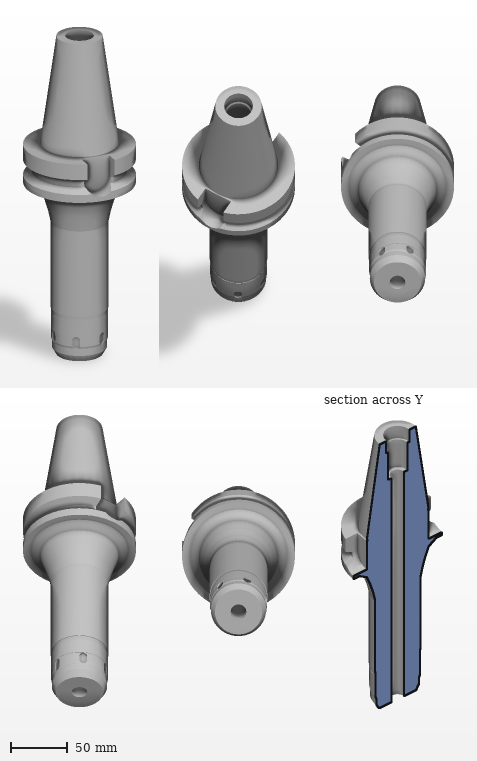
import cadquery as cq

total_height = 301.8
taper_length = 101.7
face_gap = 1.2
flange_height = 36.5
flange_top = total_height - taper_length - face_gap
flange_bottom = flange_top - flange_height
taper_bottom = flange_top + face_gap

taper_small_radius = 20.5
taper_large_radius = 35.0
collar_radius = 34.0
flange_radius = 49.95
groove_radius = 42.5
upper_rim_height = 14.8
lower_rim_height = 7.5
groove_side_height = 4.2

flange_underside_radius = 43.2
neck_top_radius = 35.0
neck_top = 157.0
neck_middle_radius = 29.3
neck_middle = 141.2
shank_radius = 25.7
shank_top = 125.5
shank_bottom = 44.0

nut_radius = 25.0
sleeve_radius = 25.5
sleeve_top = 39.5
sleeve_bottom = 25.0
nut_step_top = 15.0
nut_step_bottom = 13.3
nose_radius = 24.5
nose_chamfer_top = 6.3
nose_tip_radius = 20.8

pocket_count = 6
pocket_width = 7.0
pocket_height = 11.5
pocket_depth = 2.0
pocket_center = nut_step_bottom + pocket_height / 2

slot_width = 26.3
slot_floor_distance = 35.0
slot_bottom = 166.3

mouth_radius = 12.7
mouth_depth = 14.0
thread_radius = 11.0
thread_depth = 45.3
through_radius = 7.0


def revolved_body():
    rim_bottom = flange_top - upper_rim_height
    rim_top = flange_bottom + lower_rim_height
    return (
        cq.Workplane("XZ")
        .moveTo(0, 0)
        .lineTo(nose_tip_radius, 0)
        .lineTo(nose_radius, nose_chamfer_top)
        .lineTo(nose_radius, nut_step_bottom)
        .lineTo(nut_radius, nut_step_top)
        .lineTo(nut_radius, sleeve_bottom)
        .lineTo(sleeve_radius, sleeve_bottom)
        .lineTo(sleeve_radius, sleeve_top)
        .lineTo(nut_radius, sleeve_top)
        .lineTo(nut_radius, shank_bottom)
        .lineTo(shank_radius, shank_bottom)
        .lineTo(shank_radius, shank_top)
        .threePointArc((neck_middle_radius, neck_middle), (neck_top_radius, neck_top))
        .lineTo(flange_underside_radius, flange_bottom)
        .lineTo(flange_radius, flange_bottom)
        .lineTo(flange_radius, rim_top)
        .lineTo(groove_radius, rim_top + groove_side_height)
        .lineTo(groove_radius, rim_bottom - groove_side_height)
        .lineTo(flange_radius, rim_bottom)
        .lineTo(flange_radius, flange_top)
        .lineTo(collar_radius, flange_top)
        .lineTo(collar_radius, taper_bottom)
        .lineTo(taper_large_radius, taper_bottom)
        .lineTo(taper_small_radius, total_height)
        .lineTo(0, total_height)
        .close()
        .revolve(360, (0, 0, 0), (0, 1, 0))
    )


def drive_slot():
    """Round-bottomed slot on the +X side, open at the flange top."""
    half_width = slot_width / 2
    arc_center = slot_bottom + half_width
    return (
        cq.Workplane("YZ", origin=(slot_floor_distance, 0, 0))
        .moveTo(-half_width, flange_top)
        .lineTo(-half_width, arc_center)
        .threePointArc((0, slot_bottom), (half_width, arc_center))
        .lineTo(half_width, flange_top)
        .close()
        .extrude(flange_radius)
    )


def wrench_pocket():
    """Flat-floored upright pocket on the +X side of the nut."""
    return (
        cq.Workplane("YZ", origin=(nut_radius - pocket_depth, 0, pocket_center))
        .slot2D(pocket_height, pocket_width, 90)
        .extrude(nut_radius)
    )


def bore_step(radius, depth):
    return cq.Workplane("XY", origin=(0, 0, total_height - depth)).circle(radius).extrude(depth)


def turned(shape, angle):
    return shape.rotate((0, 0, 0), (0, 0, 1), angle)


result = revolved_body()
for slot_angle in (0, 180):
    result = result.cut(turned(drive_slot(), slot_angle))
for index in range(pocket_count):
    pocket_angle = -90 + index * 360 / pocket_count
    result = result.cut(turned(wrench_pocket(), pocket_angle))
for bore_radius, bore_depth in (
    (mouth_radius, mouth_depth),
    (thread_radius, thread_depth),
    (through_radius, total_height),
):
    result = result.cut(bore_step(bore_radius, bore_depth))